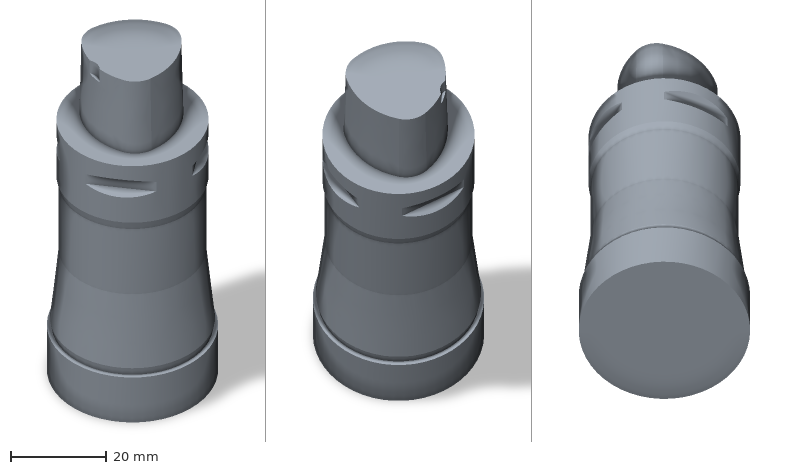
import cadquery as cq
import math

NUT_TOP = 12.0
LIP_TOP = 14.0
CONE_TOP = 32.4
NECK_TOP = 49.9
FLANGE_BOTTOM = 51.95
FLANGE_TOP = 67.1
SHANK_TOP = 86.0

NUT_DIAMETER = 36.0
LIP_BOTTOM_DIAMETER = 34.05
CONE_BASE_DIAMETER = 34.75
NECK_DIAMETER = 31.05
FLANGE_DIAMETER = 32.0

SHANK_WIDTH = 21.9
LOBE_CENTER_RADIUS = 5.6
SHANK_INSET = 0.4
LOBE_COUNT = 3

NOTCH_WIDTH = 4.6
NOTCH_HEIGHT = 3.4
NOTCH_FLOOR_Y = -9.1
NOTCH_RADIUS = 3.2

GROOVE_COUNT = 4
GROOVE_FIRST_ANGLE = 45.0
GROOVE_FLOOR_DISTANCE = 14.1
GROOVE_FLOOR_HEIGHT = 2.6
GROOVE_CENTER_Z = 61.0
GROOVE_WALL_ANGLE = 30.0
CUT_MARGIN = 0.9


def polar_point(radius, angle):
    """Point at a radius and an angle in degrees, measured from +X."""
    turn = math.radians(angle)
    return cq.Vector(radius * math.cos(turn), radius * math.sin(turn))


def make_nut():
    """Plain cylindrical nut at the bottom."""
    return cq.Workplane("XY").circle(NUT_DIAMETER / 2).extrude(NUT_TOP)


def make_turned_body():
    """Revolved body: lip, cone, neck and flange."""
    profile = [
        (0, NUT_TOP),
        (LIP_BOTTOM_DIAMETER / 2, NUT_TOP),
        (CONE_BASE_DIAMETER / 2, LIP_TOP),
        (NECK_DIAMETER / 2, CONE_TOP),
        (NECK_DIAMETER / 2, NECK_TOP),
        (FLANGE_DIAMETER / 2, FLANGE_BOTTOM),
        (FLANGE_DIAMETER / 2, FLANGE_TOP),
        (0, FLANGE_TOP),
    ]
    return cq.Workplane("XZ").polyline(profile).close().revolve(360, (0, 0), (0, 1))


def make_shank():
    """Tapered shank whose outline alternates small lobe arcs and large side arcs."""
    center_spacing = LOBE_CENTER_RADIUS * math.sqrt(3)
    lobe_radius = (SHANK_WIDTH - center_spacing) / 2
    side_radius = SHANK_WIDTH - lobe_radius
    lobe_step = 360 / LOBE_COUNT
    lobe_half_angle = lobe_step / 4
    height = SHANK_TOP - FLANGE_TOP

    lobe_angles = [90 + i * lobe_step for i in range(LOBE_COUNT)]
    first_center = polar_point(LOBE_CENTER_RADIUS, lobe_angles[0])
    start = first_center + polar_point(lobe_radius, lobe_angles[0] - lobe_half_angle)
    outline = cq.Workplane("XY").workplane(offset=FLANGE_TOP).moveTo(start.x, start.y)
    for angle in lobe_angles:
        lobe_center = polar_point(LOBE_CENTER_RADIUS, angle)
        lobe_middle = lobe_center + polar_point(lobe_radius, angle)
        lobe_end = lobe_center + polar_point(lobe_radius, angle + lobe_half_angle)
        outline = outline.threePointArc(lobe_middle.toTuple()[:2], lobe_end.toTuple()[:2])

        side_angle = angle + lobe_step / 2
        next_angle = angle + lobe_step
        next_center = polar_point(LOBE_CENTER_RADIUS, next_angle)
        side_center = polar_point(LOBE_CENTER_RADIUS, side_angle + 180)
        side_middle = side_center + polar_point(side_radius, side_angle)
        side_end = next_center + polar_point(lobe_radius, next_angle - lobe_half_angle)
        outline = outline.threePointArc(side_middle.toTuple()[:2], side_end.toTuple()[:2])
    taper = math.degrees(math.atan2(SHANK_INSET, height))
    return outline.close().extrude(height, taper=taper)


def make_key_notch():
    """Cutter for the shallow round-backed notch, open at the top and outward."""
    half_width = NOTCH_WIDTH / 2
    sagitta = NOTCH_RADIUS - math.sqrt(NOTCH_RADIUS**2 - half_width**2)
    corner_y = NOTCH_FLOOR_Y - sagitta
    outer_y = -SHANK_WIDTH / 2 - CUT_MARGIN
    return (
        cq.Workplane("XY")
        .workplane(offset=SHANK_TOP - NOTCH_HEIGHT)
        .moveTo(-half_width, outer_y)
        .lineTo(-half_width, corner_y)
        .threePointArc((0, NOTCH_FLOOR_Y), (half_width, corner_y))
        .lineTo(half_width, outer_y)
        .close()
        .extrude(NOTCH_HEIGHT + CUT_MARGIN)
    )


def make_gripper_groove(angle):
    """Cutter for one straight groove with a flat floor and flared walls."""
    outer_distance = FLANGE_DIAMETER / 2 + CUT_MARGIN
    flare = (outer_distance - GROOVE_FLOOR_DISTANCE) * math.tan(math.radians(GROOVE_WALL_ANGLE))
    floor_half = GROOVE_FLOOR_HEIGHT / 2
    mouth_half = floor_half + flare
    section = [
        (GROOVE_FLOOR_DISTANCE, GROOVE_CENTER_Z - floor_half),
        (outer_distance, GROOVE_CENTER_Z - mouth_half),
        (outer_distance, GROOVE_CENTER_Z + mouth_half),
        (GROOVE_FLOOR_DISTANCE, GROOVE_CENTER_Z + floor_half),
    ]
    groove = cq.Workplane("XZ").polyline(section).close().extrude(FLANGE_DIAMETER / 2, both=True)
    return groove.rotate((0, 0, 0), (0, 0, 1), angle)


def make_housing():
    """Turned body and polygon shank in one piece, with its notch and grooves."""
    housing = make_turned_body().union(make_shank()).cut(make_key_notch())
    for i in range(GROOVE_COUNT):
        housing = housing.cut(make_gripper_groove(GROOVE_FIRST_ANGLE + i * 360 / GROOVE_COUNT))
    return housing


nut = make_nut()
housing = make_housing()

result = cq.Compound.makeCompound([nut.val(), housing.val()])